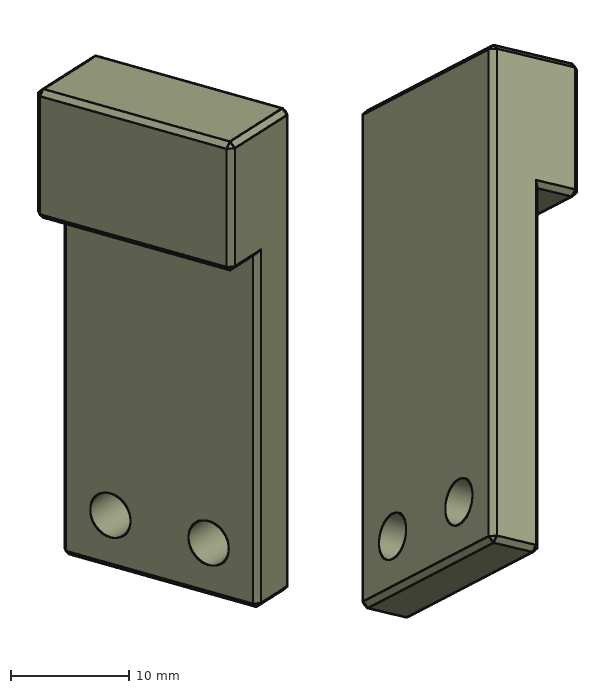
import cadquery as cq

width = 20.0
depth = 9.0
height = 45.0

plate_thickness = 5.0
head_height = 12.0
edge_chamfer = 0.5

hole_diameter = 4.1
hole_spacing = width / 2
hole_height = 5.0

back_y = depth / 2
front_y = -depth / 2
plate_front_y = back_y - plate_thickness
head_bottom_z = height - head_height


def box_between(front, back, bottom, top):
    """Full-width block centred on X."""
    block = cq.Workplane("XY").box(width, back - front, top - bottom, centered=(True, False, False))
    return block.translate((0, front, bottom))


plate = box_between(plate_front_y, back_y, 0, height).edges().chamfer(edge_chamfer)
head = box_between(front_y, back_y, head_bottom_z, height).edges().chamfer(edge_chamfer)
body = plate.union(head)

holes = (
    cq.Workplane("XZ", origin=(0, back_y, hole_height))
    .pushPoints([(-hole_spacing / 2, 0), (hole_spacing / 2, 0)])
    .circle(hole_diameter / 2)
    .extrude(depth)
)

result = body.cut(holes)